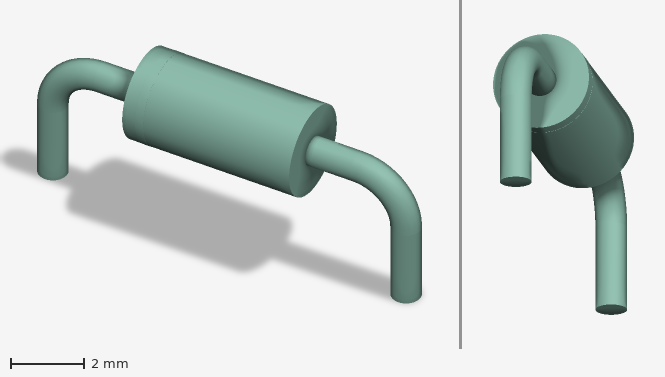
import cadquery as cq

overall_length = 11.86
overall_height = 5.23
band_diameter = 2.7
body_diameter = 2.69
body_length = 5.2
band_offset = 0.4
band_width = 0.25
band_depth = 0.05
lead_diameter = 0.87
bend_radius = 1.51

half_body = body_length / 2
leg_x = (overall_length - lead_diameter) / 2
bend_start_x = leg_x - bend_radius
leg_bottom_z = band_diameter / 2 - overall_height
band_start_x = -half_body + band_offset


def cylinder_along_x(start_x, length, diameter):
    return cq.Workplane("YZ", origin=(start_x, 0, 0)).circle(diameter / 2).extrude(length)


def make_band():
    """Thin marking ring around the body."""
    outer = cylinder_along_x(band_start_x, band_width, band_diameter)
    bore = cylinder_along_x(band_start_x, band_width, band_diameter - 2 * band_depth)
    return outer.cut(bore)


def make_body(band):
    """Cylindrical body with a groove that the band fills."""
    return cylinder_along_x(-half_body, body_length, body_diameter).cut(band)


def make_lead(side):
    """Bent wire from one end face of the body; side is -1 or +1 along X."""
    path = (
        cq.Workplane("XZ")
        .moveTo(side * half_body, 0)
        .lineTo(side * bend_start_x, 0)
        .tangentArcPoint((side * leg_x, -bend_radius), relative=False)
        .lineTo(side * leg_x, leg_bottom_z)
    )
    section = cq.Workplane("YZ", origin=(side * half_body, 0, 0)).circle(lead_diameter / 2)
    return section.sweep(path)


band = make_band()
body = make_body(band)
leads = [make_lead(side) for side in (-1, 1)]

result = cq.Compound.makeCompound([body.val(), band.val(), *[lead.val() for lead in leads]])